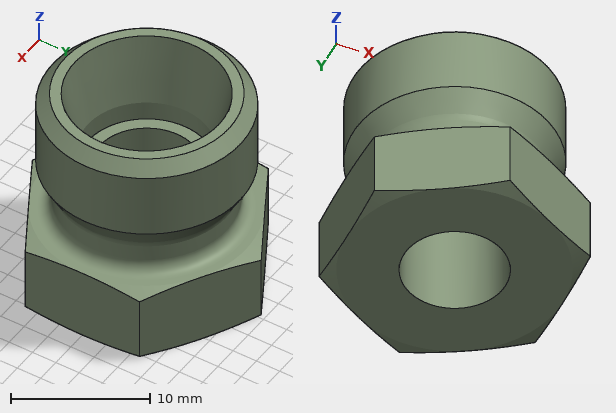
import cadquery as cq
import math

across_corners = 19.63
across_flats = across_corners * math.cos(math.radians(30))
total_height = across_flats
hex_height = 6.0
hex_chamfer_angle = math.radians(15)
corner_direction = 90

thread_diameter = 16.0
neck_diameter = 13.7
top_chamfer = 1.0
thread_length = 6.4
neck_cone_angle = math.radians(30)
neck_fillet = 1.0
radius_tolerance = 0.002

through_diameter = 8.0
seat_diameter = 10.0
mouth_diameter = 12.3
seat_depth = 7.0
mouth_half_angle = math.radians(12)


def revolve_profile(points):
    """Revolve a (radius, height) outline into a solid about Z."""
    return cq.Workplane("XZ").polyline(points).close().revolve(360, (0, 0), (0, 1))


def make_hexagon():
    """Hexagon with a corner on Y, its corners cut by a cone at both ends."""
    prism = cq.Workplane("XY").polygon(6, across_corners).extrude(hex_height)
    prism = prism.rotate((0, 0, 0), (0, 0, 1), corner_direction)
    flat_radius = across_flats / 2
    corner_radius = across_corners / 2
    drop = (corner_radius - flat_radius) * math.tan(hex_chamfer_angle)
    envelope = revolve_profile([
        (0, 0),
        (flat_radius, 0),
        (corner_radius, drop),
        (corner_radius, hex_height - drop),
        (flat_radius, hex_height),
        (0, hex_height),
    ])
    return prism.intersect(envelope)


def make_spigot():
    """Plain cylindrical spigot with a chamfered top and an undercut neck below it."""
    thread_radius = thread_diameter / 2
    neck_radius = neck_diameter / 2
    thread_bottom = total_height - thread_length
    cone_bottom = thread_bottom - (thread_radius - neck_radius) / math.tan(neck_cone_angle)
    return revolve_profile([
        (0, hex_height),
        (neck_radius, hex_height),
        (neck_radius, cone_bottom),
        (thread_radius, thread_bottom),
        (thread_radius, total_height - top_chamfer),
        (thread_radius - top_chamfer, total_height),
        (0, total_height),
    ])


def is_neck_edge(edge):
    """Circles at the two ends of the neck cylinder."""
    return edge.geomType() == "CIRCLE" and abs(edge.radius() - neck_diameter / 2) < radius_tolerance


def make_bore():
    """Through hole, tube seat and conical mouth."""
    seat_radius = seat_diameter / 2
    mouth_radius = mouth_diameter / 2
    cone_depth = (mouth_radius - seat_radius) / math.tan(mouth_half_angle)
    return revolve_profile([
        (0, 0),
        (through_diameter / 2, 0),
        (through_diameter / 2, total_height - seat_depth),
        (seat_radius, total_height - seat_depth),
        (seat_radius, total_height - cone_depth),
        (mouth_radius, total_height),
        (0, total_height),
    ])


body = make_hexagon().union(make_spigot())
neck_edges = [edge for edge in body.edges().vals() if is_neck_edge(edge)]
body = body.newObject(neck_edges).fillet(neck_fillet)
result = body.cut(make_bore())